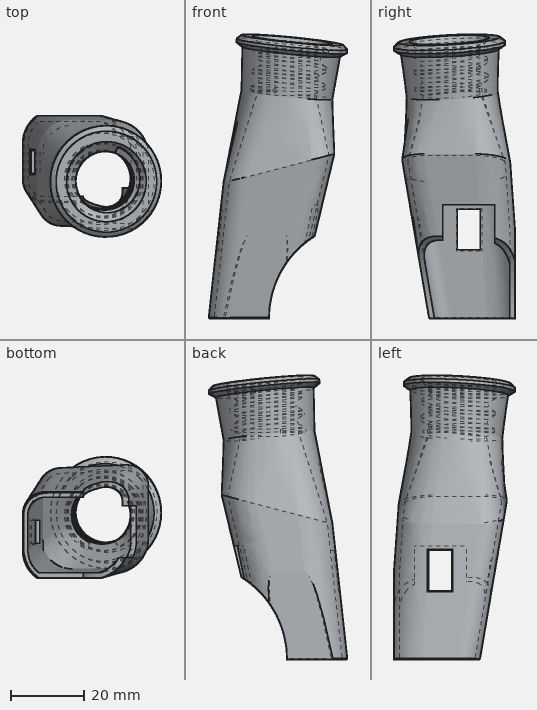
import cadquery as cq
import math

LEFT_AT_BASE, LEFT_LEAN = 0.0, 0.11
RIGHT_AT_BASE, RIGHT_LEAN = 23.6, 0.24
FRONT_AT_BASE, FRONT_LEAN = 9.6, -0.17
BACK_AT_BASE, BACK_LEAN = 34.85, -0.071
BACK_LIMIT = 33.1
FRONT_RADIUS = 6.2
BACK_RADIUS = 9.3
WALL = 1.5
SEAM_HEIGHT = 36.0
SEAM_RISE = 0.26
FAR = 77.6
MIDDLE_X = 15.5
OVERCUT = 0.8

PALM_FOOT = (16.5, 0.0)
PALM_MIDDLE = (19.5, 12.25)
PALM_TIP = (28.95, 22.5)
FOOT_CHAMFER = 0.3

WINDOW_CENTRE_Y = 20.5
WINDOW_WIDTH = 6.2
WINDOW_BOTTOM, WINDOW_TOP = 18.85, 29.8
WINDOW_CHAMFER = 0.4
SLOT_WIDTH = 14.1
SLOT_TOP = 31.05

MOUTH = (22.9, 15.1, 76.05)
NECK_LEAN_X, NECK_LEAN_Y = 0.1, -0.055
NECK_LENGTH = 15.05
NECK_BOTTOM_RADIUS = 12.5
NECK_TOP_RADIUS = 13.4
RIM_RADIUS = 15.2
RIM_FACE_RADIUS = 13.8
RIM_EDGE = 0.3
RIM_BEVEL_HEIGHT = 1.2
RIM_BAND_HEIGHT = 0.9
RIM_HEIGHT = 3.25
BORE_RADIUS = 8.1
MOUTH_RADIUS = 10.95
THREAD_RADIUS = 10.1
THREAD_PITCH = 4.65
THREAD_ROOT_WIDTH = 0.9
THREAD_FLANK = 0.62
THREAD_TOP = -1.6
THREAD_TOP_ANGLE = 71.0
SEGMENTS = 8
FIRST_SEGMENT_ANGLE = 208.0

ARC_HANDLE = 4 / 3 * (math.sqrt(2) - 1)


def neck_plane(depth):
    """Plane square to the neck axis, at a depth below the mouth."""
    normal = cq.Vector(NECK_LEAN_X, NECK_LEAN_Y, 1).normalized()
    origin = cq.Vector(*MOUTH) - normal * depth
    return cq.Plane(origin, xDir=(1, 0, -NECK_LEAN_X), normal=normal)


def grip_outline(height, rise, inset):
    """Rounded four-sided outline of the grip on the plane z = height + rise * x."""
    sides_x = [(LEFT_AT_BASE + inset, LEFT_LEAN), (RIGHT_AT_BASE - inset, RIGHT_LEAN)]
    sides_y = [(FRONT_AT_BASE + inset, FRONT_LEAN), (BACK_AT_BASE - inset, BACK_LEAN)]
    corners = []
    for side, end in ((0, 0), (1, 0), (1, 1), (0, 1)):
        x_base, x_lean = sides_x[side]
        y_base, y_lean = sides_y[end]
        z = (height + rise * x_base) / (1 - rise * x_lean)
        corners.append(cq.Vector(x_base + x_lean * z, y_base + y_lean * z, z))

    rounds = []
    for i, corner in enumerate(corners):
        radius = (FRONT_RADIUS if i < 2 else BACK_RADIUS) - inset
        legs = []
        for neighbour in (corners[i - 1], corners[(i + 1) % 4]):
            leg = neighbour - corner
            legs.append(leg * (radius / max(abs(leg.x), abs(leg.y))))
        points = [
            corner + legs[0],
            corner + legs[0] * (1 - ARC_HANDLE),
            corner + legs[1] * (1 - ARC_HANDLE),
            corner + legs[1],
        ]
        rounds.append(points)

    edges = []
    for i, points in enumerate(rounds):
        edges.append(cq.Edge.makeBezier(points))
        edges.append(cq.Edge.makeLine(points[-1], rounds[(i + 1) % 4][0]))
    return cq.Wire.assembleEdges(edges)


def neck_circle(depth, radius):
    """Circle around the neck axis, split into as many segments as the grip outline."""
    plane = neck_plane(depth)
    step = 360 / SEGMENTS

    def point(turn):
        angle = math.radians(FIRST_SEGMENT_ANGLE + turn * step)
        return plane.toWorldCoords((radius * math.cos(angle), radius * math.sin(angle), 0))

    edges = [cq.Edge.makeThreePointArc(point(i), point(i + 0.5), point(i + 1)) for i in range(SEGMENTS)]
    return cq.Wire.assembleEdges(edges)


def box(x_range, y_range, z_range):
    """Block between the low and high limits along each axis."""
    size = [high - low for low, high in (x_range, y_range, z_range)]
    corner = cq.Vector(x_range[0], y_range[0], z_range[0])
    return cq.Workplane(cq.Solid.makeBox(*size, pnt=corner))


def grip():
    """Solid grip with its chamfered foot, arc-shaped palm hollow and upright back flat."""
    foot = grip_outline(0, 0, 0)
    seam = grip_outline(SEAM_HEIGHT, SEAM_RISE, 0)
    body = cq.Workplane(cq.Solid.makeLoft([foot, seam], True))
    body = body.faces("<Z").edges().chamfer(FOOT_CHAMFER)
    palm = (
        cq.Workplane("XZ", origin=(0, FAR, 0))
        .moveTo(*PALM_FOOT)
        .threePointArc(PALM_MIDDLE, PALM_TIP)
        .lineTo(FAR, PALM_TIP[1])
        .lineTo(FAR, PALM_FOOT[1])
        .close()
        .extrude(2 * FAR)
    )
    body = body.cut(palm)
    return body.cut(box((-FAR, FAR), (BACK_LIMIT, FAR), (-FAR, FAR)))


def shoulder(seam_outline, circle):
    """Straight blend from an outline on the seam plane to a circle on the neck."""
    return cq.Workplane(cq.Solid.makeLoft([seam_outline, circle], True))


def neck():
    """Neck with rim, entry cone and threaded bore."""
    rim_under = RIM_BEVEL_HEIGHT + RIM_BAND_HEIGHT
    profile = [
        (BORE_RADIUS, -NECK_LENGTH),
        (NECK_BOTTOM_RADIUS, -NECK_LENGTH),
        (NECK_TOP_RADIUS, -RIM_HEIGHT),
        (RIM_RADIUS, -rim_under),
        (RIM_RADIUS, -RIM_BEVEL_HEIGHT),
        (RIM_FACE_RADIUS + RIM_EDGE, -RIM_EDGE / 2),
        (RIM_FACE_RADIUS, 0),
        (MOUTH_RADIUS, 0),
        (BORE_RADIUS, BORE_RADIUS - MOUTH_RADIUS),
    ]
    body = cq.Workplane("XZ").polyline(profile).close().revolve(360, (0, 0, 0), (0, 1, 0))

    thread_height = NECK_LENGTH + THREAD_TOP
    helix = cq.Wire.makeHelix(THREAD_PITCH, thread_height, THREAD_RADIUS)
    inner = BORE_RADIUS - OVERCUT
    half_root = THREAD_ROOT_WIDTH / 2
    half_mouth = half_root + THREAD_FLANK * (THREAD_RADIUS - inner)
    groove = (
        cq.Workplane("XZ")
        .polyline(
            [
                (inner, -half_mouth),
                (THREAD_RADIUS, -half_root),
                (THREAD_RADIUS, half_root),
                (inner, half_mouth),
            ]
        )
        .close()
        .sweep(cq.Workplane(helix), isFrenet=True)
    )
    start_angle = THREAD_TOP_ANGLE - 360 * thread_height / THREAD_PITCH
    groove = groove.rotate((0, 0, 0), (0, 0, 1), start_angle).translate((0, 0, -NECK_LENGTH))
    body = body.cut(groove)
    return cq.Workplane(body.val().moved(cq.Location(neck_plane(0))))


def cavity():
    """Hollow of the grip, open at the foot and narrowing through the shoulder to the bore."""
    seam = grip_outline(SEAM_HEIGHT, SEAM_RISE, WALL)
    lower = cq.Workplane(cq.Solid.makeLoft([grip_outline(-OVERCUT, 0, WALL), seam], True))
    lower = lower.cut(box((-FAR, FAR), (BACK_LIMIT - WALL, FAR), (-FAR, FAR)))
    return lower.union(shoulder(seam, neck_circle(NECK_LENGTH, BORE_RADIUS)))


def window():
    """Straight opening with a chamfered rim that follows the leaning left wall."""
    height = WINDOW_TOP - WINDOW_BOTTOM
    centre_z = (WINDOW_TOP + WINDOW_BOTTOM) / 2
    centre = (LEFT_AT_BASE + LEFT_LEAN * centre_z, WINDOW_CENTRE_Y, centre_z)
    wall_plane = cq.Plane(centre, xDir=(0, 1, 0), normal=(1, 0, -LEFT_LEAN))
    rim = (
        cq.Workplane(wall_plane)
        .rect(WINDOW_WIDTH + 2 * WINDOW_CHAMFER, height + 2 * WINDOW_CHAMFER)
        .workplane(offset=WINDOW_CHAMFER)
        .rect(WINDOW_WIDTH, height)
        .loft()
    )
    y_range = (WINDOW_CENTRE_Y - WINDOW_WIDTH / 2, WINDOW_CENTRE_Y + WINDOW_WIDTH / 2)
    return box((-FAR, MIDDLE_X), y_range, (WINDOW_BOTTOM, WINDOW_TOP)).union(rim)


def slot():
    """Opening in the right wall, running up from the palm hollow."""
    return box(
        (MIDDLE_X, FAR),
        (WINDOW_CENTRE_Y - SLOT_WIDTH / 2, WINDOW_CENTRE_Y + SLOT_WIDTH / 2),
        (-OVERCUT, SLOT_TOP),
    )


outer_seam = grip_outline(SEAM_HEIGHT, SEAM_RISE, 0)
outer = grip().union(shoulder(outer_seam, neck_circle(NECK_LENGTH, NECK_BOTTOM_RADIUS)))
result = outer.cut(cavity()).union(neck()).cut(window()).cut(slot())